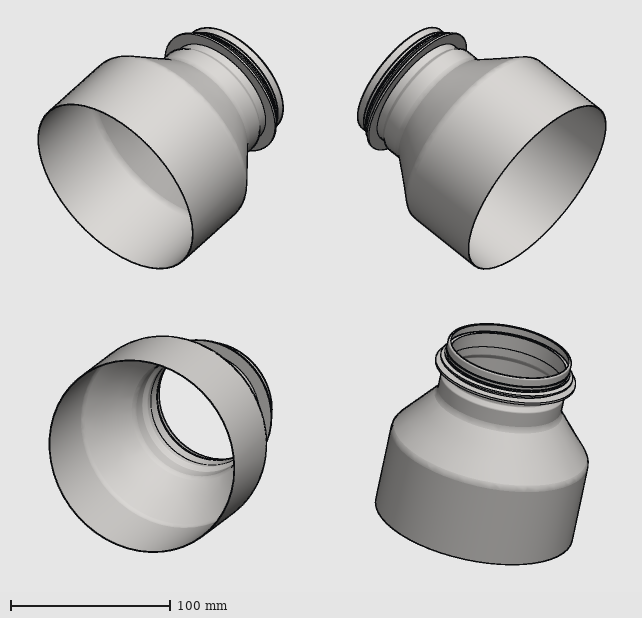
import cadquery as cq

WALL = 0.5
LENGTH = 118.5
SOCKET_RADIUS = 126.2 / 2
NECK_RADIUS = 79.0 / 2
GROOVE_RADIUS = 74.2 / 2
MOUTH_RADIUS = 75.5 / 2

CONE_START = 53.0
CONE_END = 82.6
CONE_BEND_RADIUS = 6.2
NECK_END = 94.5
GROOVE_START = 97.5
GROOVE_END = 112.5
NECK_BEND_RADIUS = 1.3
GROOVE_BEND_RADIUS = 0.8
MOUTH_BEND_RADIUS = 1.3

SEAL_START = 103.0
SEAL_RADIUS = 78.0 / 2
STOP_LIP = (89.5 / 2, SEAL_START, 1.4, 1.8)
MIDDLE_LIP = (84.5 / 2, 107.2, 1.0, 1.6)
END_LIP = (80.0 / 2, 109.6, 0.9, 0.9)


def circle_edges(body, radius, y):
    """Select the circular edge of the given radius in the plane at the given Y."""
    tolerance = 0.01
    box = cq.selectors.BoxSelector(
        (-radius - tolerance, y - tolerance, -radius - tolerance),
        (radius + tolerance, y + tolerance, radius + tolerance),
        boundingbox=True,
    )
    return body.edges(box)


def revolve_about_y(profile):
    return profile.close().revolve(360, (0, 0, 0), (0, 1, 0))


def make_reducer():
    outline = cq.Workplane("XY").polyline([
        (0, 0),
        (SOCKET_RADIUS, 0),
        (SOCKET_RADIUS, CONE_START),
        (NECK_RADIUS, CONE_END),
        (NECK_RADIUS, NECK_END),
        (GROOVE_RADIUS, GROOVE_START),
        (GROOVE_RADIUS, GROOVE_END),
        (NECK_RADIUS, GROOVE_END),
        (NECK_RADIUS, LENGTH),
        (0, LENGTH),
    ])
    body = revolve_about_y(outline)

    bends = [
        (SOCKET_RADIUS, CONE_START, CONE_BEND_RADIUS),
        (NECK_RADIUS, CONE_END, CONE_BEND_RADIUS),
        (NECK_RADIUS, NECK_END, NECK_BEND_RADIUS),
        (GROOVE_RADIUS, GROOVE_START, GROOVE_BEND_RADIUS),
        (NECK_RADIUS, LENGTH, MOUTH_BEND_RADIUS),
    ]
    for radius, y, bend_radius in bends:
        body = circle_edges(body, radius, y).fillet(bend_radius)

    body = body.faces("<Y").shell(-WALL, kind="intersection")
    mouth = cq.Workplane("XZ", origin=(0, LENGTH, 0)).circle(MOUTH_RADIUS).extrude(2 * WALL)
    return body.cut(mouth).solids()


def make_seal():
    profile = cq.Workplane("XY").moveTo(GROOVE_RADIUS, SEAL_START)
    for tip_radius, start, tip_thickness, root_thickness in (STOP_LIP, MIDDLE_LIP, END_LIP):
        profile = profile.lineTo(SEAL_RADIUS, start)
        profile = profile.lineTo(tip_radius, start)
        profile = profile.lineTo(tip_radius, start + tip_thickness)
        profile = profile.lineTo(SEAL_RADIUS, start + root_thickness)
    profile = profile.lineTo(SEAL_RADIUS, GROOVE_END).lineTo(GROOVE_RADIUS, GROOVE_END)
    return revolve_about_y(profile)


reducer = make_reducer()
seal = make_seal()

result = cq.Compound.makeCompound([reducer.val(), seal.val()])